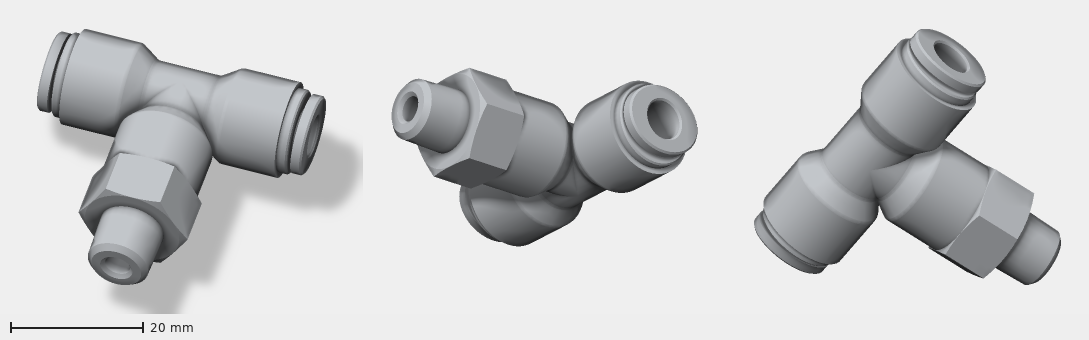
import cadquery as cq
import math


run_half_length = 20.95
branch_length = 32.98

socket_radius = 14.9 / 2
core_radius = 11.0 / 2
cone_start = 5.0
cone_end = 8.0
cone_blend = 1.0
run_socket_end = 17.05
branch_socket_end = 16.93

tube_bore_radius = 6.2 / 2
tube_bore_floor = cone_end

ring_radius = 13.15 / 2
ring_end = 18.65
ring_chamfer = 0.25

collar_neck_radius = 7.5 / 2
flange_thickness = 1.68
flange_half_width = ring_radius
flange_half_height = 11.0 / 2
flange_chamfer = 0.3
collar_bore_chamfer = 0.3

hex_across_flats = 15.0
hex_length = 8.0
hex_corner_radius = hex_across_flats / math.sqrt(3)
hex_face_radius = socket_radius
hex_corner_drop = 0.4
thread_base_radius = 10.0 / 2
thread_taper = 1 / 16
thread_chamfer = 0.85
adapter_bore_radius = 4.0 / 2
adapter_bore_mouth_radius = 5.1 / 2
adapter_bore_chamfer = adapter_bore_mouth_radius - adapter_bore_radius


def cylinder_along_x(radius, start, end):
    return cq.Workplane("YZ", origin=(start, 0, 0)).circle(radius).extrude(end - start)


def tee_arm(socket_end):
    """Revolved arm along +X: thin core, blended cone and socket cylinder."""
    arm = (
        cq.Workplane("XY")
        .moveTo(0, 0)
        .lineTo(0, core_radius)
        .lineTo(cone_start, core_radius)
        .lineTo(cone_end, socket_radius)
        .lineTo(socket_end, socket_radius)
        .lineTo(socket_end, 0)
        .close()
        .revolve(360, (0, 0, 0), (1, 0, 0))
    )
    for cone_edge_x in (cone_start, cone_end):
        cone_edge = cq.selectors.BoxSelector(
            (cone_edge_x - cone_blend / 2, -socket_radius, -socket_radius),
            (cone_edge_x + cone_blend / 2, socket_radius, socket_radius),
        )
        arm = arm.edges("%CIRCLE").edges(cone_edge).fillet(cone_blend)
    return arm


def make_tee_body():
    right_arm = tee_arm(run_socket_end)
    left_arm = right_arm.mirror("YZ")
    branch_arm = tee_arm(branch_socket_end).rotate((0, 0, 0), (0, 0, 1), -90)
    body = right_arm.union(left_arm).union(branch_arm)
    right_bore = cylinder_along_x(tube_bore_radius, tube_bore_floor, run_socket_end)
    return body.cut(right_bore).cut(right_bore.mirror("YZ"))


def make_guide_ring():
    """Ring on the +X socket, chamfered at its outer rim."""
    ring = cylinder_along_x(ring_radius, run_socket_end, ring_end)
    ring = ring.faces(">X").chamfer(ring_chamfer)
    return ring.cut(cylinder_along_x(tube_bore_radius, run_socket_end, ring_end))


def make_release_collar():
    """Collar on the +X guide ring: round neck, oval flange and chamfered tube bore."""
    flange_start = run_half_length - flange_thickness
    flange = (
        cq.Workplane("YZ", origin=(flange_start, 0, 0))
        .ellipse(flange_half_width, flange_half_height)
        .extrude(flange_thickness)
        .faces(">X")
        .chamfer(flange_chamfer)
    )
    neck = cylinder_along_x(collar_neck_radius, ring_end, flange_start)
    bore = cylinder_along_x(tube_bore_radius, ring_end, run_half_length)
    collar = neck.union(flange).cut(bore)
    bore_mouth = cq.selectors.RadiusNthSelector(0)
    return collar.faces(">X").edges("%CIRCLE").edges(bore_mouth).chamfer(collar_bore_chamfer)


def make_adapter():
    """Hexagon and tapered thread blank along -Y, with a chamfered through bore."""
    hex_end = branch_socket_end + hex_length
    thread_straight_end = branch_length - thread_chamfer
    thread_end_radius = thread_base_radius - thread_taper / 2 * (thread_straight_end - hex_end)

    hexagon = (
        cq.Workplane("XZ", origin=(0, -branch_socket_end, 0))
        .polygon(6, 2 * hex_corner_radius)
        .extrude(hex_length)
    )
    corner_envelope = (
        cq.Workplane("XY")
        .moveTo(0, -branch_socket_end)
        .lineTo(hex_face_radius, -branch_socket_end)
        .lineTo(hex_corner_radius, -branch_socket_end - hex_corner_drop)
        .lineTo(hex_corner_radius, -hex_end + hex_corner_drop)
        .lineTo(hex_face_radius, -hex_end)
        .lineTo(0, -hex_end)
        .close()
        .revolve(360, (0, 0, 0), (0, 1, 0))
    )
    thread = (
        cq.Workplane("XY")
        .moveTo(0, -hex_end)
        .lineTo(thread_base_radius, -hex_end)
        .lineTo(thread_end_radius, -thread_straight_end)
        .lineTo(thread_end_radius - thread_chamfer, -branch_length)
        .lineTo(0, -branch_length)
        .close()
        .revolve(360, (0, 0, 0), (0, 1, 0))
    )
    bore = (
        cq.Workplane("XY")
        .moveTo(0, -branch_socket_end)
        .lineTo(adapter_bore_radius, -branch_socket_end)
        .lineTo(adapter_bore_radius, -branch_length + adapter_bore_chamfer)
        .lineTo(adapter_bore_mouth_radius, -branch_length)
        .lineTo(0, -branch_length)
        .close()
        .revolve(360, (0, 0, 0), (0, 1, 0))
    )
    return hexagon.intersect(corner_envelope).union(thread).cut(bore)


tee_body = make_tee_body()
adapter = make_adapter()

guide_rings = []
release_collars = []
for end_angle in (0, 180):
    guide_rings.append(make_guide_ring().rotate((0, 0, 0), (0, 0, 1), end_angle))
    release_collars.append(make_release_collar().rotate((0, 0, 0), (0, 0, 1), end_angle))

result = cq.Compound.makeCompound(
    [
        tee_body.val(),
        adapter.val(),
        *[ring.val() for ring in guide_rings],
        *[collar.val() for collar in release_collars],
    ]
)